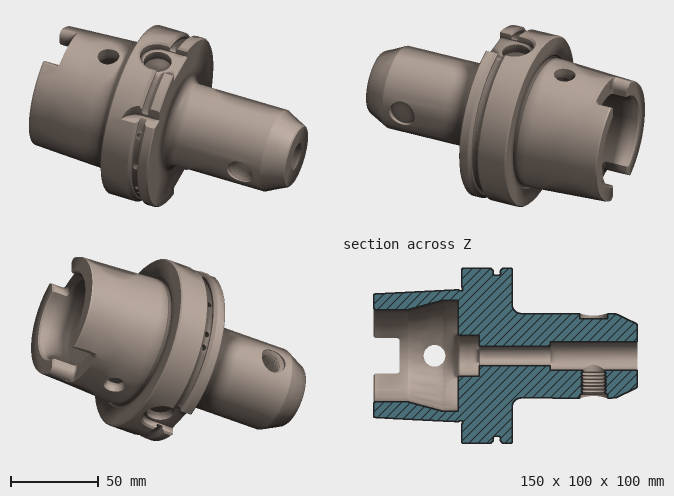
import cadquery as cq
import math

total_length = 150.0
shank_length = 50.0
nose_end = total_length - shank_length
flange_radius = 100.0 / 2

clearance = 1.5
pick_margin = 0.2

shank_face_radius = 35.2
shank_base_radius = 37.6
shank_chamfer_length = 0.9
shank_chamfer_height = 0.3
relief_length = 1.8
relief_radius = 37.2
relief_outer_radius = 39.2
relief_depth = 0.8

flange_length = 29.0
flange_chamfer = 0.8
groove_center = 20.1
groove_mouth_width = 6.9
groove_throat_width = 3.8
groove_floor_width = 4.0
groove_corner = 0.6
groove_floor_radius = 45.9
groove_undercut_height = 0.9
groove_flare_depth = 1.8

nose_radius = 24.2
neck_fillet = 5.0
nose_cone_length = 12.6
nose_tip_radius = 18.5
nose_tip_chamfer = 0.8
nose_cone_blend = 1.5

clamp_bore_radius = 26.1
clamp_bore_depth = 19.5
clamp_bore_chamfer = 0.9
chamber_radius = 31.5
chamber_cone_depth = 39.8
chamber_depth = 48.0
tube_bore_radius = 11.5
tube_bore_depth = 12.0
tube_bore_chamfer = 0.8
passage_radius = 5.4
passage_chamfer = 0.6
tool_bore_radius = 8.0
tool_bore_depth = 49.5

drive_slot_half_width = 10.0
drive_slot_depth_top = 9.9
drive_slot_depth_bottom = 14.8
drive_slot_lip_height = 27.2
drive_slot_lip_radius = 5.1
drive_slot_fillet = 1.8
drive_slot_entry_chamfer = 1.0

cross_hole_position = 34.6
cross_hole_radius = 6.2

key_slot_half_width = 10.0
key_slot_center = 14.8
key_slot_floor = 44.0
key_slot_chamfer = 1.2
key_slot_floor_chamfer = 0.6
key_hole_radius = 8.0
key_hole_depth = 5.4

notch_wall = 31.6
notch_floor = 31.5
notch_tool_radius = 10.0
notch_center = 18.0

balance_hole_angles = (30, 5, -20, -30)
balance_hole_radius = 1.8
balance_hole_depth = 4.5
balance_hole_tip = 0.9

screw_position = nose_end - 24.9
screw_minor_radius = 6.2
screw_major_radius = 7.0
screw_mouth_radius = 7.8
screw_mouth_depth = 1.8
screw_pitch = 2.0
thread_turns = 6
recess_depth = 3.0


def revolve_about_axis(points):
    """Solid of revolution about X from a closed outline of (x, radius) points."""
    return cq.Workplane("XY").polyline(points).close().revolve(360, (0, 0, 0), (1, 0, 0))


def make_body():
    neck_root = nose_radius + neck_fillet
    middle = neck_fillet * (1 - math.sqrt(0.5))
    cone_start = nose_end - nose_cone_length
    profile = (
        cq.Workplane("XY")
        .moveTo(-shank_length, 0)
        .lineTo(-shank_length, shank_face_radius - shank_chamfer_height)
        .lineTo(-shank_length + shank_chamfer_length, shank_face_radius)
        .lineTo(-relief_length, shank_base_radius)
        .lineTo(-relief_length / 2, relief_radius)
        .lineTo(relief_depth, relief_radius)
        .lineTo(relief_depth, relief_outer_radius - relief_depth)
        .lineTo(0, relief_outer_radius)
        .lineTo(0, flange_radius - flange_chamfer)
        .lineTo(flange_chamfer, flange_radius)
        .lineTo(flange_length - flange_chamfer, flange_radius)
        .lineTo(flange_length, flange_radius - flange_chamfer)
        .lineTo(flange_length, neck_root)
        .threePointArc(
            (flange_length + middle, nose_radius + middle),
            (flange_length + neck_fillet, nose_radius),
        )
        .lineTo(cone_start, nose_radius)
        .lineTo(nose_end - nose_tip_chamfer, nose_tip_radius)
        .lineTo(nose_end, nose_tip_radius - nose_tip_chamfer)
        .lineTo(nose_end, 0)
        .close()
    )
    body = profile.revolve(360, (0, 0, 0), (1, 0, 0))
    cone_edge = cq.selectors.BoxSelector(
        (cone_start - pick_margin, -nose_radius, -nose_radius),
        (cone_start + pick_margin, nose_radius, nose_radius),
        boundingbox=False,
    )
    return body.edges(cone_edge).fillet(nose_cone_blend)


def make_groove():
    """Ring with a flared mouth, a narrow throat and an undercut floor."""
    section = [
        (groove_floor_width / 2 - groove_corner, groove_floor_radius),
        (groove_floor_width / 2, groove_floor_radius + groove_corner),
        (groove_floor_width / 2, groove_floor_radius + groove_undercut_height),
        (groove_throat_width / 2, flange_radius - groove_flare_depth),
        (groove_mouth_width / 2, flange_radius),
        (groove_mouth_width / 2, flange_radius + clearance),
    ]
    left = [(groove_center - half_width, radius) for half_width, radius in section]
    right = [(groove_center + half_width, radius) for half_width, radius in reversed(section)]
    return revolve_about_axis(left + right)


def make_axial_bores():
    chamber_floor = chamber_depth - shank_length
    tube_floor = chamber_floor + tube_bore_depth
    points = [
        (-shank_length, 0),
        (-shank_length, clamp_bore_radius + clamp_bore_chamfer),
        (-shank_length + clamp_bore_chamfer, clamp_bore_radius),
        (clamp_bore_depth - shank_length, clamp_bore_radius),
        (chamber_cone_depth - shank_length, chamber_radius),
        (chamber_floor, chamber_radius),
        (chamber_floor, tube_bore_radius + tube_bore_chamfer),
        (chamber_floor + tube_bore_chamfer, tube_bore_radius),
        (tube_floor, tube_bore_radius),
        (tube_floor, passage_radius + passage_chamfer),
        (tube_floor + passage_chamfer, passage_radius),
        (nose_end - tool_bore_depth, passage_radius),
        (nose_end - tool_bore_depth, tool_bore_radius),
        (nose_end, tool_bore_radius),
        (nose_end, 0),
    ]
    return revolve_about_axis(points)


def make_drive_slot(depth):
    """Slot on the +Z side whose flanks roll outwards in a convex lip."""
    lip_top = drive_slot_lip_height + drive_slot_lip_radius
    lip_edge = drive_slot_half_width + drive_slot_lip_radius
    middle_y = lip_edge - drive_slot_lip_radius * math.sqrt(0.5)
    middle_z = drive_slot_lip_height + drive_slot_lip_radius * math.sqrt(0.5)
    profile = (
        cq.Workplane("YZ", origin=(-shank_length, 0, 0))
        .moveTo(-drive_slot_half_width, 0)
        .lineTo(drive_slot_half_width, 0)
        .lineTo(drive_slot_half_width, drive_slot_lip_height)
        .threePointArc((middle_y, middle_z), (lip_edge, lip_top))
        .lineTo(lip_edge, shank_base_radius + clearance)
        .lineTo(-lip_edge, shank_base_radius + clearance)
        .lineTo(-lip_edge, lip_top)
        .threePointArc((-middle_y, middle_z), (-drive_slot_half_width, drive_slot_lip_height))
        .close()
    )
    slot = profile.extrude(depth)
    flank_ends = cq.selectors.BoxSelector(
        (-shank_length + depth - pick_margin, -lip_edge, clearance),
        (-shank_length + depth + pick_margin, lip_edge, lip_top),
    )
    entry_edge = drive_slot_half_width + drive_slot_entry_chamfer
    entry_end = -shank_length + drive_slot_entry_chamfer
    entry = (
        cq.Workplane("XY")
        .moveTo(-shank_length, -entry_edge)
        .lineTo(-shank_length, entry_edge)
        .lineTo(entry_end, drive_slot_half_width)
        .lineTo(entry_end, -drive_slot_half_width)
        .close()
        .extrude(lip_top - drive_slot_entry_chamfer)
    )
    return slot.edges(flank_ends).fillet(drive_slot_fillet).union(entry)


def make_key_slot():
    """Round-ended slot on the +Z side, open at the nose end of the flange."""
    run = flange_length - key_slot_center + clearance
    height = flange_radius - key_slot_floor + clearance
    sheet = cq.Workplane("XY", origin=(key_slot_center, 0, key_slot_floor))
    straight = sheet.center(run / 2, 0).rect(run, 2 * key_slot_half_width).extrude(height)
    return straight.union(sheet.circle(key_slot_half_width).extrude(height))


def make_key_hole():
    sheet = cq.Workplane("XY", origin=(key_slot_center, 0, key_slot_floor - key_hole_depth))
    return sheet.circle(key_hole_radius).extrude(key_hole_depth)


def key_slot_rim():
    """Selector for the edges where the +Z key slot breaks through the flange rim."""
    reach = key_slot_half_width + pick_margin
    lowest = flange_radius - clearance
    return cq.selectors.BoxSelector(
        (key_slot_center - reach, -reach, lowest),
        (flange_length - flange_chamfer - pick_margin, reach, flange_radius),
    )


def key_floor_end():
    """Selector for the edge where the +Z key slot floor meets the nose side of the flange."""
    reach = key_slot_half_width + pick_margin
    return cq.selectors.BoxSelector(
        (flange_length - pick_margin, -reach, key_slot_floor - pick_margin),
        (flange_length + pick_margin, reach, key_slot_floor + pick_margin),
    )


def make_notch():
    height = flange_radius - notch_floor
    center_y = -notch_wall - notch_tool_radius
    sheet = cq.Workplane("XY", origin=(notch_center, center_y, notch_floor))
    run = flange_length - notch_center + clearance
    straight = sheet.center(run / 2, 0).rect(run, 2 * notch_tool_radius).extrude(height)
    return straight.union(sheet.circle(notch_tool_radius).extrude(height))


def make_balance_hole(angle):
    """Blind radial hole with a drill point, turned from -Y towards +Z by the angle."""
    hole_floor = groove_floor_radius - balance_hole_depth
    points = [
        (0, -groove_floor_radius - groove_corner),
        (balance_hole_radius, -groove_floor_radius - groove_corner),
        (balance_hole_radius, -hole_floor),
        (0, balance_hole_tip - hole_floor),
    ]
    profile = cq.Workplane("XY", origin=(groove_center, 0, 0)).polyline(points).close()
    hole = profile.revolve(360, (0, 0, 0), (0, 1, 0))
    return hole.rotate((0, 0, 0), (1, 0, 0), -angle)


def make_screw_hole():
    """Threaded hole from -Y into the tool bore, with ring-shaped thread grooves."""
    mouth_floor = nose_radius - screw_mouth_depth
    thread_start = mouth_floor - (screw_mouth_radius - screw_major_radius)
    points = [
        (0, 0),
        (0, -nose_radius),
        (screw_mouth_radius, -nose_radius),
        (screw_mouth_radius, -mouth_floor),
        (screw_major_radius, -thread_start),
    ]
    for turn in range(thread_turns):
        crest = thread_start - (turn + 0.5) * screw_pitch
        root = thread_start - (turn + 1) * screw_pitch
        points += [(screw_minor_radius, -crest), (screw_major_radius, -root)]
    last_crest = thread_start - (thread_turns + 0.5) * screw_pitch
    points += [(screw_minor_radius, -last_crest), (screw_minor_radius, 0)]
    profile = cq.Workplane("XY", origin=(screw_position, 0, 0)).polyline(points).close()
    return profile.revolve(360, (0, 0, 0), (0, 1, 0))


def make_recess():
    """Shallow round recess opposite the clamping screw hole."""
    sheet = cq.Workplane("XZ", origin=(screw_position, nose_radius, 0))
    return sheet.circle(screw_mouth_radius).extrude(recess_depth)


def make_cross_hole():
    start = (cross_hole_position - shank_length, 0, -shank_base_radius)
    return cq.Workplane("XY", origin=start).circle(cross_hole_radius).extrude(2 * shank_base_radius)


result = make_body()

key_slot = make_key_slot()
key_hole = make_key_hole()
for half_turn in range(2):
    result = result.cut(key_slot)
    result = result.edges(key_slot_rim()).chamfer(key_slot_chamfer)
    result = result.edges(key_floor_end()).chamfer(key_slot_floor_chamfer)
    result = result.cut(key_hole)
    result = result.rotate((0, 0, 0), (1, 0, 0), 180)

result = result.cut(make_groove())
result = result.cut(make_axial_bores())
result = result.cut(make_drive_slot(drive_slot_depth_top))
result = result.cut(make_drive_slot(drive_slot_depth_bottom).mirror("XY"))
result = result.cut(make_cross_hole())
result = result.cut(make_notch())
for angle in balance_hole_angles:
    result = result.cut(make_balance_hole(angle))
result = result.cut(make_screw_hole())
result = result.cut(make_recess())